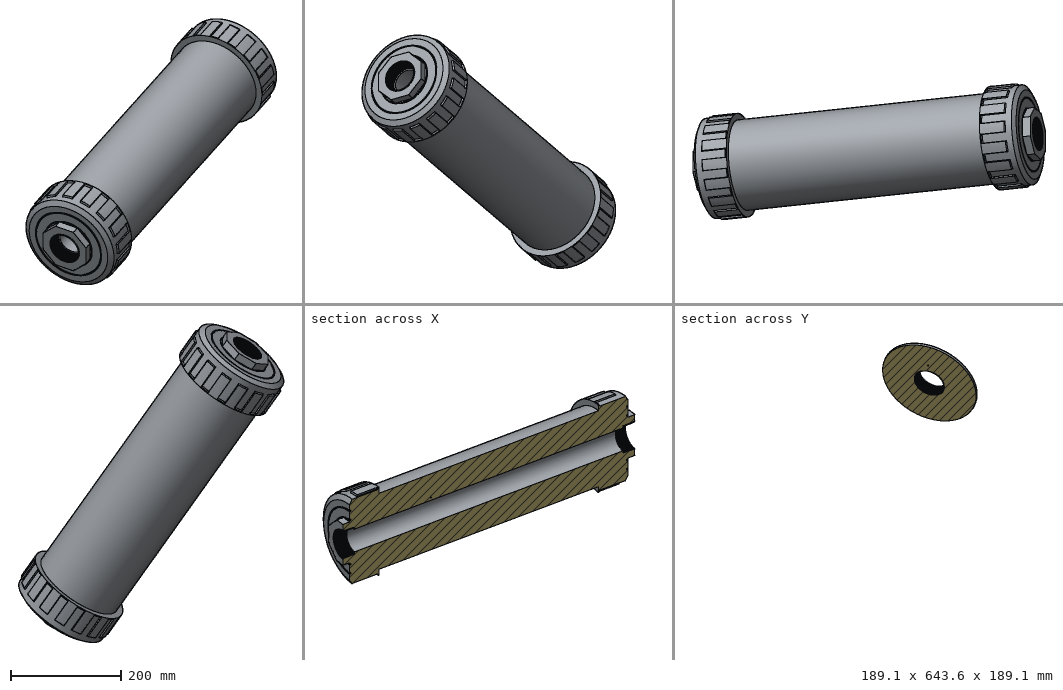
import cadquery as cq
import math

total_length = 643.59
half_length = total_length / 2
tube_diameter = 165.1

cap_length = 65.8
cap_body_diameter = 182.9
cap_face_diameter = 163.0
cap_chamfer_length = 5.8

grip_diameter = 189.1
grip_height = (grip_diameter - cap_body_diameter) / 2
rib_count = 16
rib_width = 20.0
rib_length = 48.2
rib_offset_angle = 7.5
grip_slope_length = 1.5
rim_width = 1.9

plug_diameter = 132.99
cap_opening_diameter = 136.8
hub_diameter = 95.0
plug_opening_diameter = 97.5
gap_depth = 3.0

nut_height = 14.7
nut_across_flats = 89.0
nut_sides = 8

bore_diameter = 48.26
thread_minor_diameter = 56.36
thread_major_diameter = 60.3
thread_pitch = 2.209
thread_flat = 0.5
thread_taper = 1 / 16
thread_turns = 12

cap_face = half_length - nut_height
cap_open_end = cap_face - cap_length
nut_across_corners = nut_across_flats / math.cos(math.pi / nut_sides)


def cylinder(diameter, start, end):
    """Cylinder on the Y axis from one station to another."""
    return cq.Workplane("XZ", origin=(0, end, 0)).circle(diameter / 2).extrude(end - start)


def make_grip_disc(full_height_length):
    """Disc at grip diameter from the open end, sloping steeply down to the cap body."""
    disc = cylinder(grip_diameter, cap_open_end, cap_open_end + full_height_length + grip_slope_length)
    return disc.faces(">Y").chamfer(grip_slope_length, grip_height)


def make_cap_body():
    """Cap ring with its sloped shoulder and the rim at the open end."""
    shell = cylinder(cap_body_diameter, cap_open_end, cap_face)
    shoulder_width = (cap_body_diameter - cap_face_diameter) / 2
    shell = shell.faces(">Y").chamfer(cap_chamfer_length, shoulder_width)
    return shell.union(make_grip_disc(rim_width))


def make_ribs():
    """Raised grip ribs, evenly spaced around the cap."""
    bar_height = grip_diameter / 2
    bars = cq.Workplane("XY")
    for index in range(rib_count):
        angle = rib_offset_angle + index * 360 / rib_count
        bar = cq.Workplane("XY").box(rib_width, rib_length, bar_height, centered=(True, False, False))
        bar = bar.translate((0, cap_open_end, 0)).rotate((0, 0, 0), (0, 1, 0), angle)
        bars = bars.add(bar)
    return bars.combine().intersect(make_grip_disc(rib_length - grip_slope_length))


def make_gap(inner_diameter, outer_diameter):
    """Narrow ring groove sunk from the end face, left between two nested pieces."""
    bottom = cap_face - gap_depth
    return cylinder(outer_diameter, bottom, cap_face).cut(cylinder(inner_diameter, bottom, cap_face))


def make_nut():
    """Octagonal nut with flats facing X and Z."""
    nut = cq.Workplane("XZ", origin=(0, half_length, 0)).polygon(nut_sides, nut_across_corners)
    nut = nut.extrude(nut_height)
    return nut.rotate((0, 0, 0), (0, 1, 0), 180 / nut_sides)


def make_thread():
    """Tapered thread of the port, as ring grooves with flat crests and roots."""
    points = [(0, half_length)]
    for turn in range(thread_turns):
        depth = turn * thread_pitch
        narrowing = depth * thread_taper / 2
        root = thread_major_diameter / 2 - narrowing
        crest = thread_minor_diameter / 2 - narrowing
        root_start = half_length - depth
        crest_start = root_start - thread_pitch / 2
        points.append((root, root_start))
        points.append((root, root_start - thread_flat))
        points.append((crest, crest_start))
        points.append((crest, crest_start - thread_flat))
    points.append((0, crest_start - thread_flat))
    thread = cq.Workplane("XY").polyline(points).close()
    return thread.revolve(360, (0, 0, 0), (0, 1, 0))


def make_end():
    """Complete +Y end: cap, plug, nut and threaded port."""
    end = make_cap_body().union(make_ribs())
    end = end.cut(make_gap(plug_diameter, cap_opening_diameter))
    end = end.cut(make_gap(hub_diameter, plug_opening_diameter))
    end = end.union(make_nut())
    return end.cut(make_thread())


end = make_end()
tube = cylinder(tube_diameter, -cap_open_end, cap_open_end)
body = tube.union(end).union(end.rotate((0, 0, 0), (0, 0, 1), 180))
result = body.cut(cylinder(bore_diameter, -half_length, half_length))